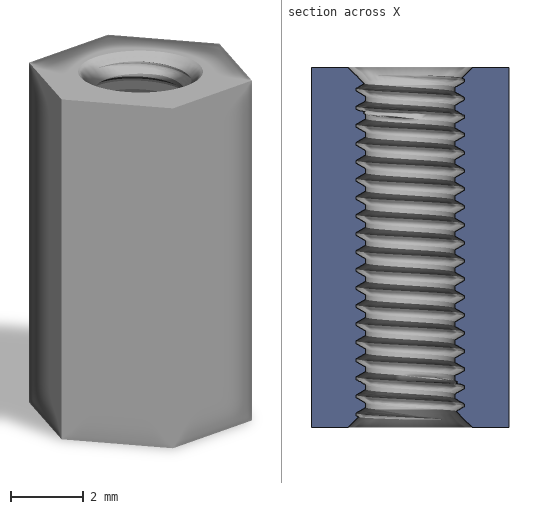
import cadquery as cq
import math

across_flats = 5.5
length = 10.0

major_diameter = 3.0
pitch = 0.5
flank_angle = math.radians(30)
sharp_height = pitch / (2 * math.tan(flank_angle))
thread_depth = sharp_height * 5 / 8
root_width = pitch / 8
bore_diameter = major_diameter - 2 * thread_depth

thread_start_angle = 100.0
thread_start_shift = 0.14

countersink_diameter = 3.46
countersink_half_angle = math.radians(45)

bore_overlap = 0.05
groove_overrun = 2 * pitch
core_overrun = 4 * pitch


def hex_body():
    across_corners = across_flats / math.cos(math.pi / 6)
    return cq.Workplane("XY").polygon(6, across_corners).extrude(length)


def bottom_countersink():
    """Full cone with its base on the bottom face; the tip lies inside the bore."""
    radius = countersink_diameter / 2
    return cq.Workplane(cq.Solid.makeCone(radius, 0, radius / math.tan(countersink_half_angle)))


def thread_groove():
    """Trapezoidal thread section swept along a right-handed helix."""
    inner_radius = bore_diameter / 2 - bore_overlap
    root_radius = major_diameter / 2
    root_half_width = root_width / 2
    inner_half_width = root_half_width + (root_radius - inner_radius) * math.tan(flank_angle)
    helix = cq.Wire.makeHelix(pitch, length + 2 * groove_overrun, inner_radius)
    section = (
        cq.Workplane("XZ")
        .moveTo(inner_radius, -inner_half_width)
        .lineTo(root_radius, -root_half_width)
        .lineTo(root_radius, root_half_width)
        .lineTo(inner_radius, inner_half_width)
        .close()
    )
    groove = section.sweep(cq.Workplane(helix), isFrenet=True)
    return groove.rotate((0, 0, 0), (0, 0, 1), thread_start_angle).translate(
        (0, 0, thread_start_shift - groove_overrun)
    )


def tap():
    """Bore core and thread groove joined into one cutter."""
    core = (
        cq.Workplane("XY")
        .workplane(offset=-core_overrun)
        .circle(bore_diameter / 2)
        .extrude(length + 2 * core_overrun)
    )
    return core.union(thread_groove(), clean=False)


top_countersink = bottom_countersink().mirror("XY").translate((0, 0, length))

result = (
    hex_body()
    .cut(bottom_countersink())
    .cut(top_countersink)
    .cut(tap(), clean=False)
)